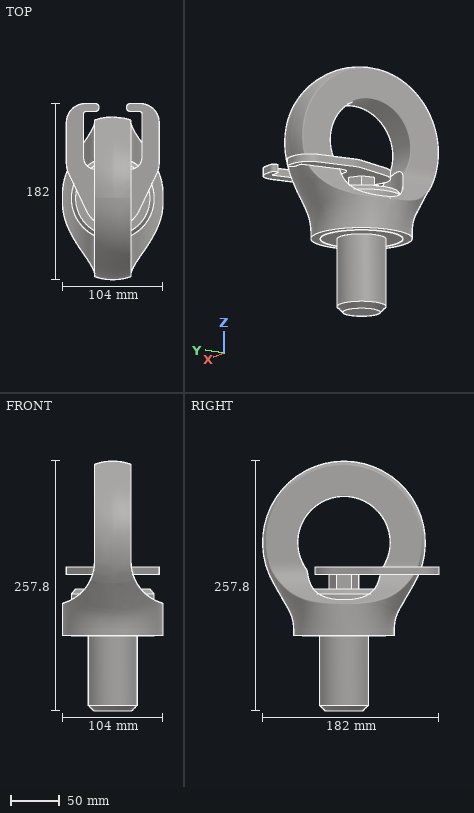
import cadquery as cq
import math


base_radius = 52.0
base_height = 7.0
ring_outer_radius = 84.0
ring_hole_radius = 47.5
hole_rim_radius = 1.0
edge_radius = 1.5
ring_center_z = 96.0
ring_width = 38.0
parting_half_width = 1.0
neck_angle = 30.0
neck_blend_radius = 41.0
cove_start_z = 76.0
cove_end_z = 33.5

head_radius = 42.7
head_top_z = 48.3
head_bottom_z = -0.5
head_chamfer_height = 5.2
head_chamfer_width = 4.4
shank_radius = 25.4
shank_bottom_z = -77.76
shank_chamfer = 6.0
hex_corner_radius = 15.5
hex_turn = 90.0

plate_bottom_z = 63.0
plate_thickness = 8.0
plate_round_radius = 30.0
plate_half_width = 48.0
plate_end_y = 97.98
plate_slope_angle = 25.5
plate_side_blend = 25.0
hook_corner_radius = 20.0
hook_inner_radius = 2.0
hook_thickness = 8.6
hook_tip_x = 14.0
slot_half_width = 30.0
slot_bottom_y = 30.0
slot_corner_radius = 12.0

half_width = ring_width / 2
crown_radius = base_radius - parting_half_width

pick_margin = 1.0


def polar(center, radius, degrees):
    """Point at an angle on a circle in a plane."""
    angle = math.radians(degrees)
    return (center[0] + radius * math.cos(angle), center[1] + radius * math.sin(angle))


def crowned_section(foot_y, inner_y):
    """Slab section in XY, from inner_y out to a crown that starts at foot_y and has a narrow flat top."""
    top_y = foot_y + crown_radius
    return (
        cq.Workplane("XY")
        .moveTo(-base_radius, inner_y)
        .lineTo(base_radius, inner_y)
        .lineTo(base_radius, foot_y)
        .radiusArc((parting_half_width, top_y), -crown_radius)
        .lineTo(-parting_half_width, top_y)
        .radiusArc((-base_radius, foot_y), -crown_radius)
        .close()
    )


def neck_half():
    """+Y half of the base and neck: upright, curving outward, then straight up to the ring."""
    foot_y = parting_half_width
    foot_ring_radius = ring_outer_radius - crown_radius
    blend_radius = neck_blend_radius + crown_radius
    blend_center = (foot_y + blend_radius, base_height)
    path = (
        cq.Workplane("YZ")
        .moveTo(foot_y, 0)
        .lineTo(foot_y, base_height)
        .threePointArc(
            polar(blend_center, blend_radius, 180 - neck_angle / 2),
            polar(blend_center, blend_radius, 180 - neck_angle),
        )
        .lineTo(*polar((0, ring_center_z), foot_ring_radius, -neck_angle))
    )
    neck = crowned_section(foot_y, foot_y - foot_ring_radius).sweep(path)
    plus_y_side = cq.Workplane("XY").box(
        2 * ring_outer_radius,
        2 * ring_outer_radius,
        2 * ring_center_z,
        centered=(True, False, False),
    )
    return neck.intersect(plus_y_side)


def ring_half():
    """+Y part of the crowned ring, from the top of the neck to the crest."""
    sector_angle = 90 + neck_angle
    sector = crowned_section(ring_outer_radius - crown_radius, 0).revolve(
        sector_angle, (0, 0, 0), (1, 0, 0)
    )
    return sector.rotate((0, 0, 0), (1, 0, 0), -neck_angle).translate((0, 0, ring_center_z))


def width_envelope():
    """Flat ring cheeks that flare out through concave coves to the base width."""
    flare = base_radius - half_width
    drop = cove_start_z - cove_end_z
    cove_radius = (flare**2 + drop**2) / (2 * flare)
    top_z = ring_center_z + ring_outer_radius
    depth = 2 * ring_outer_radius
    outer_x = 2 * base_radius
    return (
        cq.Workplane("XZ")
        .moveTo(-outer_x, 0)
        .lineTo(outer_x, 0)
        .lineTo(outer_x, cove_end_z)
        .lineTo(base_radius, cove_end_z)
        .radiusArc((half_width, cove_start_z), cove_radius)
        .lineTo(half_width, top_z)
        .lineTo(-half_width, top_z)
        .lineTo(-half_width, cove_start_z)
        .radiusArc((-base_radius, cove_end_z), cove_radius)
        .lineTo(-outer_x, cove_end_z)
        .close()
        .extrude(depth, both=True)
    )


def eye_hole():
    """Through hole of the ring."""
    return (
        cq.Workplane("YZ")
        .center(0, ring_center_z)
        .circle(ring_hole_radius)
        .extrude(base_radius, both=True)
    )


def round_outline(body):
    """Round the edges where the crowned rim meets the cheeks and the coves."""
    shoulder = cq.selectors.BoxSelector(
        (-2 * base_radius, -base_radius, cove_end_z - pick_margin),
        (2 * base_radius, base_radius, cove_end_z + pick_margin),
    )
    curved_edges = body.edges("%BSPLINE")
    shoulder_edges = body.edges("|Y").edges(shoulder)
    outline_edges = curved_edges.vals() + shoulder_edges.vals()
    return body.newObject([body.findSolid().fillet(edge_radius, outline_edges)])


def round_hole_rim(body):
    """Round the hole edge on both cheeks."""
    hole_bottom_z = ring_center_z - ring_hole_radius
    hole_top_z = ring_center_z + ring_hole_radius
    rim_edges = []
    for side in (-1, 1):
        rim_zone = cq.selectors.BoxSelector(
            (side * pick_margin, -ring_hole_radius - pick_margin, hole_bottom_z - pick_margin),
            (side * base_radius, ring_hole_radius + pick_margin, hole_top_z + pick_margin),
            boundingbox=True,
        )
        rim_edges += body.edges(rim_zone).vals()
    return body.newObject([body.findSolid().fillet(hole_rim_radius, rim_edges)])


def eye_body():
    """Ring, neck and base, with a recess that seats the bolt head."""
    head_recess = cq.Workplane("XY").circle(head_radius).extrude(ring_center_z)
    half = neck_half().union(ring_half())
    blank = half.union(half.mirror("XZ"), clean=False)
    body = blank.intersect(width_envelope(), clean=False)
    body = round_outline(body)
    body = round_hole_rim(body.cut(eye_hole(), clean=False))
    return body.cut(head_recess, clean=False)


def bolt():
    """Chamfered head and shank, with a hexagonal post up to the hook plate."""
    head = (
        cq.Workplane("XY")
        .workplane(offset=head_bottom_z)
        .circle(head_radius)
        .extrude(head_top_z - head_bottom_z)
        .faces(">Z")
        .chamfer(head_chamfer_height, head_chamfer_width)
    )
    shank = (
        cq.Workplane("XY")
        .workplane(offset=shank_bottom_z)
        .circle(shank_radius)
        .extrude(-shank_bottom_z)
        .faces("<Z")
        .chamfer(shank_chamfer)
    )
    hex_post = (
        cq.Workplane("XY")
        .polygon(6, 2 * hex_corner_radius)
        .extrude(plate_bottom_z)
        .rotate((0, 0, 0), (0, 0, 1), hex_turn)
    )
    return head.union(shank).union(hex_post)


def hook_plate():
    """Round-nosed plate with two arms that end in inward hooks."""
    slope = math.radians(plate_slope_angle)
    nose_x = plate_round_radius * math.cos(slope)
    nose_y = -plate_round_radius * math.sin(slope)
    shoulder_y = nose_y + (plate_half_width - nose_x) / math.tan(slope)
    outline = (
        cq.Workplane("XY")
        .workplane(offset=plate_bottom_z)
        .moveTo(nose_x, nose_y)
        .lineTo(plate_half_width, shoulder_y)
        .lineTo(plate_half_width, plate_end_y)
        .lineTo(-plate_half_width, plate_end_y)
        .lineTo(-plate_half_width, shoulder_y)
        .lineTo(-nose_x, nose_y)
        .threePointArc((0, -plate_round_radius), (nose_x, nose_y))
        .close()
        .extrude(plate_thickness)
    )
    outline = outline.edges("|Z and >Y").fillet(hook_corner_radius)
    shoulders = cq.selectors.BoxSelector(
        (-plate_half_width - pick_margin, shoulder_y - pick_margin, 0),
        (plate_half_width + pick_margin, shoulder_y + pick_margin, ring_center_z),
    )
    outline = outline.edges("|Z").edges(shoulders).fillet(plate_side_blend)

    slot_top_y = plate_end_y - hook_thickness
    slot_length = slot_top_y - slot_bottom_y
    slot = (
        cq.Workplane("XY")
        .workplane(offset=plate_bottom_z)
        .center(0, slot_bottom_y + slot_length / 2)
        .rect(2 * slot_half_width, slot_length)
        .extrude(plate_thickness)
    )
    slot = slot.edges("|Z and >Y").fillet(hook_inner_radius)
    slot = slot.edges("|Z and <Y").fillet(slot_corner_radius)

    tip_radius = hook_thickness / 2
    mouth_half_width = hook_tip_x + tip_radius
    tip_y = plate_end_y - tip_radius
    mouth = (
        cq.Workplane("XY")
        .workplane(offset=plate_bottom_z)
        .center(0, tip_y)
        .rect(2 * mouth_half_width, hook_thickness)
        .extrude(plate_thickness)
    )
    tips = (
        cq.Workplane("XY")
        .workplane(offset=plate_bottom_z)
        .pushPoints([(-mouth_half_width, tip_y), (mouth_half_width, tip_y)])
        .circle(tip_radius)
        .extrude(plate_thickness)
    )
    return outline.cut(slot).cut(mouth).union(tips)


result = eye_body().union(bolt(), clean=False).union(hook_plate(), clean=False)